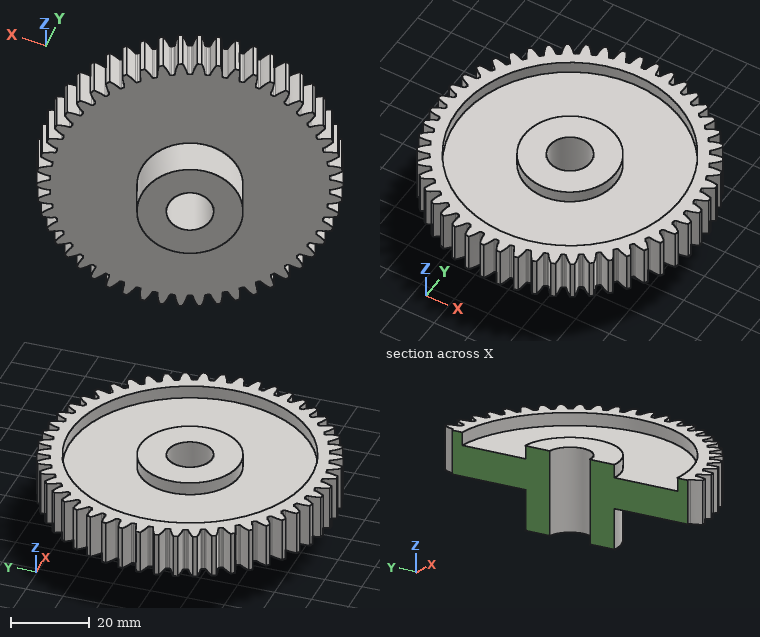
import cadquery as cq
import math

tooth_count = 50
outer_diameter = 78.0
pressure_angle = math.radians(20)
root_fillet = 0.4
face_width = 12.0
hub_length = 23.0
hub_diameter = 27.0
bore_diameter = 12.0
recess_diameter = 65.0
recess_depth = 3.5

module = outer_diameter / (tooth_count + 2)
tip_radius = outer_diameter / 2
pitch_radius = module * tooth_count / 2
dedendum = 1.25 * module
root_radius = pitch_radius - dedendum
base_radius = pitch_radius * math.cos(pressure_angle)
angular_pitch = 2 * math.pi / tooth_count

gear_bottom = hub_length - face_width
flank_points = 6
tip_overrun = 0.5 * module


def polar(radius, angle):
    """Point in the XY plane at a radius and angle from the gear axis."""
    return (radius * math.cos(angle), radius * math.sin(angle))


def involute(angle):
    """Involute function of a pressure angle."""
    return math.tan(angle) - angle


def space_half_angle(radius):
    """Half the angle between the facing flanks of two teeth at a radius."""
    flank_angle = math.acos(base_radius / radius)
    return angular_pitch / 4 + involute(flank_angle) - involute(pressure_angle)


def tooth_space():
    """Cutter for the space between two teeth, centred on the +X axis."""
    radial_step = (tip_radius + tip_overrun - root_radius) / (flank_points - 1)
    radii = [root_radius + i * radial_step for i in range(flank_points)]
    lower_flank = [polar(r, -space_half_angle(r)) for r in radii]
    upper_flank = [polar(r, space_half_angle(r)) for r in reversed(radii)]
    cutter = (
        cq.Workplane("XY", origin=(0, 0, gear_bottom))
        .moveTo(*lower_flank[0])
        .spline(lower_flank[1:], includeCurrent=True)
        .lineTo(*upper_flank[0])
        .spline(upper_flank[1:], includeCurrent=True)
        .threePointArc((root_radius, 0), lower_flank[0])
        .close()
        .extrude(face_width)
    )
    root_edges = cutter.edges("|Z").edges("<X")
    return root_edges.fillet(root_fillet).val()


def toothed_disc():
    """Spur gear disc with a tooth centred on the +X axis."""
    disc = cq.Workplane("XY", origin=(0, 0, gear_bottom)).circle(tip_radius).extrude(face_width)
    cutter = tooth_space()
    spaces = [
        cutter.rotate((0, 0, 0), (0, 0, 1), math.degrees((i + 0.5) * angular_pitch))
        for i in range(tooth_count)
    ]
    return disc.cut(cq.Workplane(cq.Compound.makeCompound(spaces)))


def web_recess():
    """Ring-shaped pocket in the top face, between the rim and the hub."""
    return (
        cq.Workplane("XY", origin=(0, 0, hub_length - recess_depth))
        .circle(recess_diameter / 2)
        .circle(hub_diameter / 2)
        .extrude(recess_depth)
    )


hub = cq.Workplane("XY").circle(hub_diameter / 2).extrude(hub_length)
bore = cq.Workplane("XY").circle(bore_diameter / 2).extrude(hub_length)

result = toothed_disc().cut(web_recess()).union(hub).cut(bore)